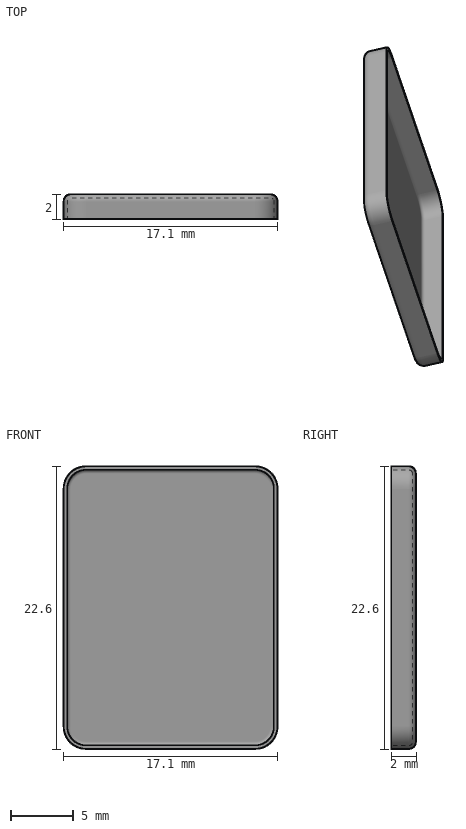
import cadquery as cq

width = 17.1
depth = 2.0
height = 22.6

wall = 0.3
corner_radius = 1.8
back_edge_radius = 0.59

inner_corner_radius = corner_radius - wall
inner_edge_radius = back_edge_radius - wall


def rounded_block(size_x, size_y, size_z, upright_radius, back_radius):
    """Block from Y = 0 to size_y with rounded corners and a rounded back rim."""
    return (
        cq.Workplane("XY")
        .box(size_x, size_y, size_z, centered=(True, False, True))
        .edges("|Y")
        .fillet(upright_radius)
        .faces(">Y")
        .edges()
        .fillet(back_radius)
    )


outside = rounded_block(width, depth, height, corner_radius, back_edge_radius)
cavity = rounded_block(
    width - 2 * wall,
    depth - wall,
    height - 2 * wall,
    inner_corner_radius,
    inner_edge_radius,
)

result = outside.cut(cavity)